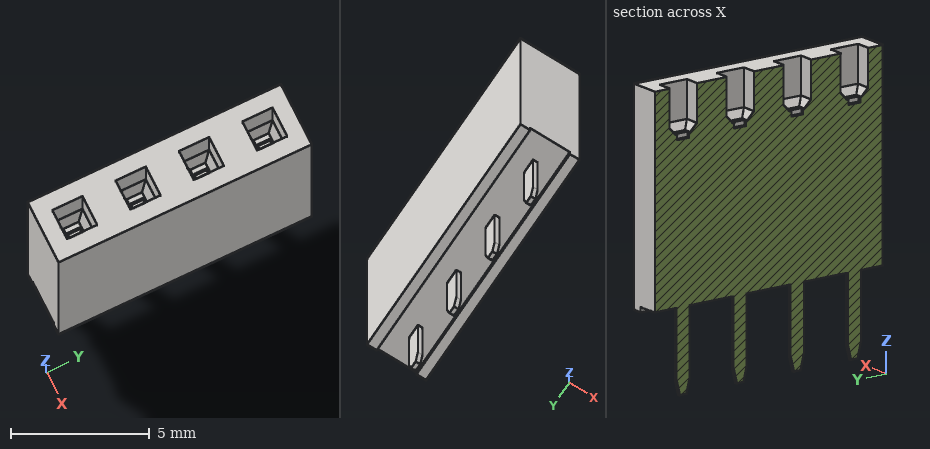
import cadquery as cq

overall_height = 11.6

position_count = 4
pitch = 2.54
housing_depth = pitch
housing_length = position_count * pitch
housing_height = 8.5

channel_width = 1.7
channel_height = 0.2

mouth_size = 1.21
mouth_depth = 1.5
floor_size = 0.61
lead_in_depth = (mouth_size - floor_size) / 2
slot_width = 0.2
slot_length = 0.51
slot_depth = 0.2

pin_thickness = 0.2
pin_width = 0.6
tip_width = 0.3
tip_length = 0.6

foot_level = overall_height - housing_height
channel_level = foot_level + channel_height
lead_in_level = overall_height - mouth_depth
floor_level = lead_in_level - lead_in_depth

pin_positions = [(i - (position_count - 1) / 2) * pitch for i in range(position_count)]


def upright_box(width, length, bottom, top):
    """Box centred on the Z axis, spanning two heights."""
    return cq.Workplane("XY").workplane(offset=bottom).rect(width, length).extrude(top - bottom)


def make_housing():
    housing = upright_box(housing_depth, housing_length, foot_level, overall_height)
    return housing.cut(upright_box(channel_width, housing_length, foot_level, channel_level))


def make_socket():
    """Square mouth above a lead-in that narrows to a flat floor with a slot in it."""
    mouth = upright_box(mouth_size, mouth_size, lead_in_level, overall_height)
    lead_in = (
        cq.Workplane("XY")
        .workplane(offset=floor_level)
        .rect(floor_size, floor_size)
        .workplane(offset=lead_in_depth)
        .rect(mouth_size, mouth_size)
        .loft(ruled=True)
    )
    slot = upright_box(slot_width, slot_length, floor_level - slot_depth, floor_level)
    return mouth.union(lead_in).union(slot)


def make_pin():
    """Flat blade whose lower end tapers to a blunt tip."""
    outline = [
        (-pin_width / 2, channel_level),
        (-pin_width / 2, tip_length),
        (-tip_width / 2, 0),
        (tip_width / 2, 0),
        (pin_width / 2, tip_length),
        (pin_width / 2, channel_level),
    ]
    return cq.Workplane("YZ").polyline(outline).close().extrude(pin_thickness / 2, both=True)


result = make_housing()
for y in pin_positions:
    result = result.cut(make_socket().translate((0, y, 0)))
    result = result.union(make_pin().translate((0, y, 0)))